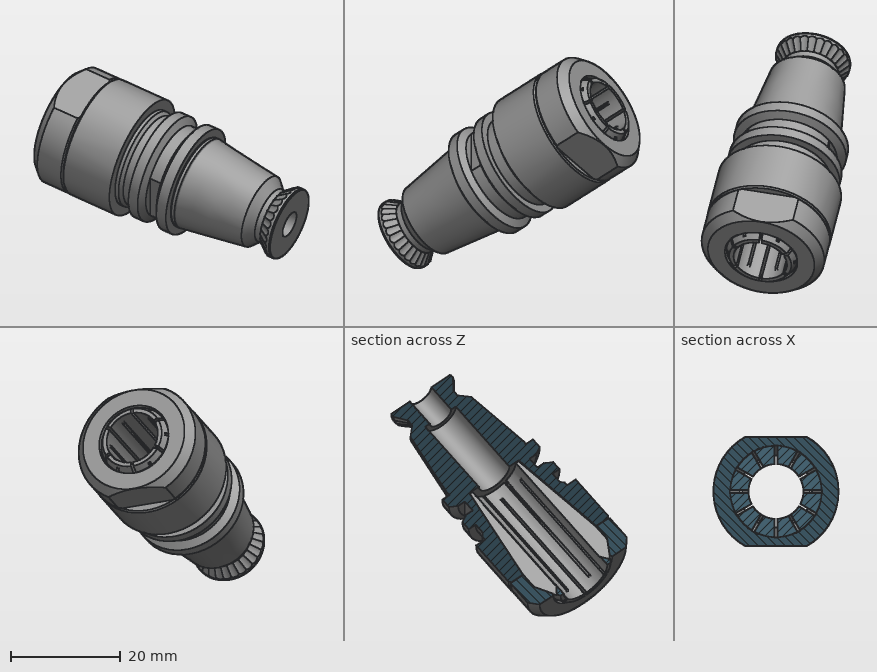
import cadquery as cq
import math


collet_length = 27.4
collet_bore_r = 10.0 / 2
collet_front_r = 5.8
collet_land_r = 8.4
collet_rear_r = 5.65
collet_cone_slope = math.tan(math.radians(30.0))
collet_cone_end = (collet_land_r - collet_front_r) / collet_cone_slope

slots_per_end = 6
slot_width = 0.5
slot_blind_length = 2.33
slot_end_slope = 1.4
blade_overlap = 0.5

nut_front = 0.85
nut_rear = 7.8
nut_r = 22.9 / 2
nut_face_r = 9.95
nut_chamfer_length = 1.65
nut_rear_chamfer = 0.3
nut_flat_width = 20.0
nut_mouth_r = 6.8
nut_seat_r = 6.6
nut_seat_front = (nut_seat_r - collet_front_r) / collet_cone_slope

head_r = 23.0 / 2
head_chamfer = 0.3
head_end = 17.9
collar_r = 19.0 / 2
collar_cone_start = 18.65
collar_cone_end = 19.3
shank_r = 17.8 / 2
flange_r = 21.0 / 2
flange_front = 21.35
flange_rear = 29.4
v_groove_r = 18.0 / 2
v_groove_front = 24.2
v_groove_rear = 26.45
v_groove_wall_angle = 30.0
v_groove_run = (flange_r - v_groove_r) * math.tan(math.radians(v_groove_wall_angle))
groove_flat_width = 15.0

relief_width = 0.15
relief_depth = 0.1
land_end = 30.25
land_chamfer_length = 0.15
taper_start_r = 8.85
taper_end = 43.45
taper_end_r = 7.02
neck_start = 45.2
neck_r = 10.5 / 2

knob_start = 46.4
knob_r = 13.8 / 2
knob_end = 49.45
knob_chamfer_length = 0.25
knob_chamfer_depth = 0.1
flute_count = 28
flute_r = 1.55
flute_end = 48.7

stop_bore_r = 7.0 / 2
through_hole_r = 4.9 / 2


def revolved(points):
    """Turn a closed (x, radius) outline about the X axis."""
    return cq.Workplane("XY").polyline(points).close().revolve(360, (0, 0, 0), (1, 0, 0))


def collet_envelope():
    """Collet without its bore and slots; it also shapes the seats in the nut and the holder."""
    return revolved([
        (0, 0),
        (0, collet_front_r),
        (collet_cone_end, collet_land_r),
        (nut_rear, collet_land_r),
        (collet_length, collet_rear_r),
        (collet_length, 0),
    ])


def flats_cutter(x_start, x_end, width, axis):
    """Material outside two parallel flats, a given width apart, square to the Y or Z axis."""
    length = x_end - x_start
    size = 4 * head_r
    gap = (width, size) if axis == "Y" else (size, width)
    block = cq.Workplane("YZ", origin=(x_start, 0, 0)).rect(size, size).extrude(length)
    between = cq.Workplane("YZ", origin=(x_start, 0, 0)).rect(*gap).extrude(length)
    return block.cut(between)


def saw_slots(outline, first_angle):
    """Radial slots of one end, from an (x, radius) outline, evenly spaced about X."""
    blade = cq.Workplane("XZ").polyline(outline).close().extrude(slot_width / 2, both=True)
    pitch = 360 / slots_per_end
    return [
        blade.rotate((0, 0, 0), (1, 0, 0), first_angle + i * pitch)
        for i in range(slots_per_end)
    ]


def make_collet():
    collet = collet_envelope()
    bore = cq.Workplane("YZ").circle(collet_bore_r).extrude(collet_length)
    collet = collet.cut(bore)

    inner_r = collet_bore_r - blade_overlap
    outer_r = collet_land_r + blade_overlap
    inner_reach = slot_end_slope * (inner_r - collet_bore_r)
    outer_reach = slot_end_slope * (outer_r - collet_bore_r)
    front_slot_end = collet_length - slot_blind_length
    rear_slot_end = slot_blind_length
    front_outline = [
        (0, inner_r),
        (front_slot_end + inner_reach, inner_r),
        (front_slot_end + outer_reach, outer_r),
        (0, outer_r),
    ]
    rear_outline = [
        (collet_length, inner_r),
        (rear_slot_end - inner_reach, inner_r),
        (rear_slot_end - outer_reach, outer_r),
        (collet_length, outer_r),
    ]
    half_pitch = 180 / slots_per_end
    for slot in saw_slots(front_outline, 0) + saw_slots(rear_outline, half_pitch):
        collet = collet.cut(slot)
    return collet


def make_nut():
    nut = revolved([
        (nut_front, 0),
        (nut_front, nut_face_r),
        (nut_front + nut_chamfer_length, nut_r),
        (nut_rear - nut_rear_chamfer, nut_r),
        (nut_rear, nut_r - nut_rear_chamfer),
        (nut_rear, 0),
    ])
    mouth = revolved([
        (nut_front, 0),
        (nut_front, nut_mouth_r),
        (nut_seat_front, nut_seat_r),
        (nut_seat_front, 0),
    ])
    flats = flats_cutter(nut_front, nut_rear, nut_flat_width, "Z")
    return nut.cut(collet_envelope()).cut(mouth).cut(flats)


def make_knob():
    """Pull knob at the +X end, with round-bottomed flutes on its front cone."""
    knob = revolved([
        (knob_start, 0),
        (knob_start, knob_r),
        (knob_end - knob_chamfer_length, knob_r),
        (knob_end, knob_r - knob_chamfer_depth),
        (knob_end, 0),
    ])
    run = flute_end - knob_start
    rise = knob_r - neck_r
    slant = math.hypot(run, rise)
    along = cq.Vector(run / slant, 0, rise / slant)
    outward = cq.Vector(-rise / slant, 0, run / slant)
    start = cq.Vector(knob_start, 0, neck_r) + outward * flute_r - along * slant
    cutter = cq.Workplane(cq.Solid.makeCylinder(flute_r, 3 * slant, start, along))
    for i in range(flute_count):
        knob = knob.cut(cutter.rotate((0, 0, 0), (1, 0, 0), i * 360 / flute_count))
    return knob


def make_holder():
    holder = revolved([
        (nut_rear, 0),
        (nut_rear, head_r - head_chamfer),
        (nut_rear + head_chamfer, head_r),
        (head_end, head_r),
        (head_end, collar_r),
        (collar_cone_start, collar_r),
        (collar_cone_end, shank_r),
        (flange_front, shank_r),
        (flange_front, flange_r),
        (v_groove_front - v_groove_run, flange_r),
        (v_groove_front, v_groove_r),
        (v_groove_rear, v_groove_r),
        (v_groove_rear + v_groove_run, flange_r),
        (flange_rear, flange_r),
        (flange_rear, shank_r - relief_depth),
        (flange_rear + relief_width, shank_r - relief_depth),
        (flange_rear + relief_width, shank_r),
        (land_end, shank_r),
        (land_end + land_chamfer_length, taper_start_r),
        (taper_end, taper_end_r),
        (neck_start, neck_r),
        (knob_start, neck_r),
        (knob_start, 0),
    ])
    flats = flats_cutter(v_groove_front, v_groove_rear, groove_flat_width, "Y")
    stop_bore = cq.Workplane("YZ").circle(stop_bore_r).extrude(taper_end)
    through_hole = cq.Workplane("YZ").circle(through_hole_r).extrude(knob_end)
    holder = holder.cut(flats).union(make_knob())
    return holder.cut(collet_envelope()).cut(stop_bore).cut(through_hole)


collet = make_collet()
nut = make_nut()
holder = make_holder()

result = cq.Compound.makeCompound([collet.val(), nut.val(), holder.val()])